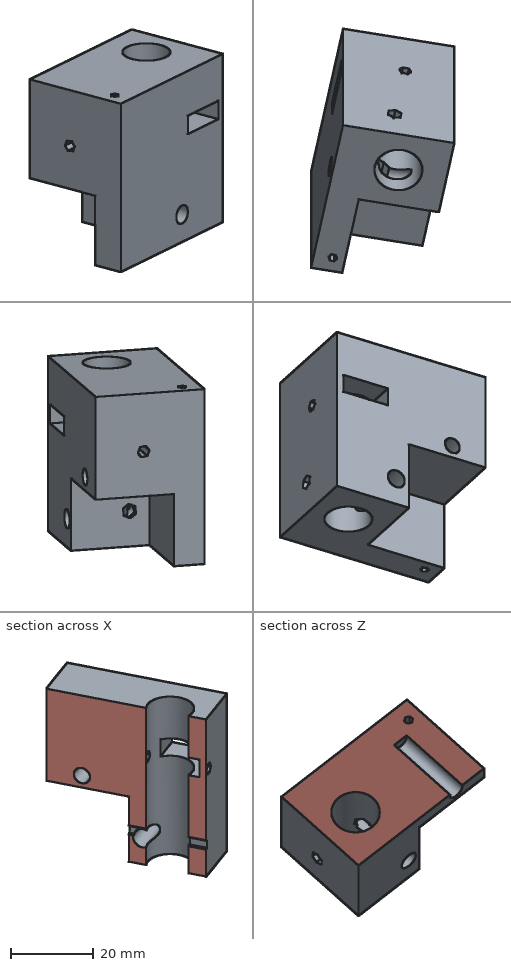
import cadquery as cq

width = 27.6
depth = 41.78
height = 43.95

notch_width = 19.85
notch_depth = 21.53
notch_height = 18.15

bore_diameter = 11.65
bore_x = 11.95
bore_y = 31.65

slot_length = 12.48
slot_height = 4.8
slot_y = 27.45
slot_z = 27.45

cross_hole_diameter = 4.7
cross_hole_y = 25.1
cross_hole_z = 7.2
blind_hole_diameter = 4.1
blind_hole_y = 9.3
blind_hole_z = 21.53
blind_hole_depth = notch_width

upper_hex_size = 2.95
upper_hex_x = 12.15
upper_hex_z = 29.35
upper_hex_turn = 8
lower_hex_size = 3.6
lower_hex_x = 14.8
lower_hex_z = 8.9
lower_hex_turn = 36
vertical_hex_size = 2.05
vertical_hex_x = 22.95
vertical_hex_y = 3.8
vertical_hex_turn = 4


def corner_box(length_x, length_y, length_z):
    """Box with its lower left front corner at the origin."""
    return cq.Workplane("XY").box(length_x, length_y, length_z, centered=False)


def side_hole(diameter, y, z, length):
    """Round cutter running in from the left side."""
    return cq.Workplane("YZ").center(y, z).circle(diameter / 2).extrude(length)


def hex_prism(size, turn, length):
    """Upright hexagonal cutter standing on the origin."""
    prism = cq.Workplane("XY").polygon(6, size).extrude(length)
    return prism.rotate((0, 0, 0), (0, 0, 1), turn)


def front_hex(size, x, z, turn):
    """Hexagonal cutter running from the front face to the back face."""
    prism = hex_prism(size, turn, depth).rotate((0, 0, 0), (1, 0, 0), 90)
    return prism.translate((x, depth, z))


block = corner_box(width, depth, height)
notch = corner_box(notch_width, notch_depth, notch_height)
bore = cq.Workplane("XY").center(bore_x, bore_y).circle(bore_diameter / 2).extrude(height)
slot = corner_box(width, slot_length, slot_height).translate((0, slot_y, slot_z))
vertical_hex = hex_prism(vertical_hex_size, vertical_hex_turn, height)

cutters = [
    notch,
    bore,
    slot,
    side_hole(cross_hole_diameter, cross_hole_y, cross_hole_z, width),
    side_hole(blind_hole_diameter, blind_hole_y, blind_hole_z, blind_hole_depth),
    front_hex(upper_hex_size, upper_hex_x, upper_hex_z, upper_hex_turn),
    front_hex(lower_hex_size, lower_hex_x, lower_hex_z, lower_hex_turn),
    vertical_hex.translate((vertical_hex_x, vertical_hex_y, 0)),
]

result = block
for cutter in cutters:
    result = result.cut(cutter)